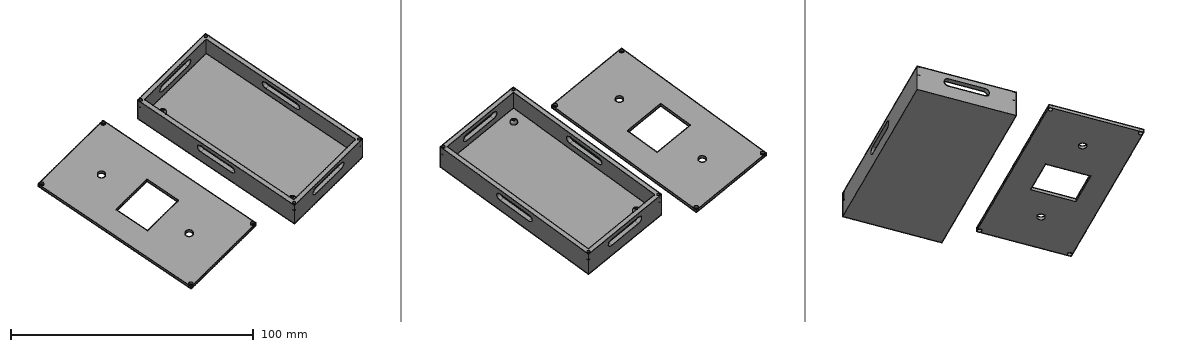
import cadquery as cq

box_length = 84.0
box_width = 44.0
box_height = 13.0
wall = 2.0
floor_thickness = 3.0
slot_length = 20.0
slot_height = 4.0
slot_center_z = 8.5

screw_hole_diameter = 1.3
screw_hole_depth = 4.5
screw_inset = 1.0

post_diameter = 3.2
post_hole_diameter = 1.0
post_spacing = 69.3
post_inset_y = 7.4

cover_length = 82.0
cover_width = 42.0
cover_thickness = 1.6
cover_hole_diameter = 1.8
cover_hole_inset = 1.1
window_length = 16.8
window_width = 20.0
window_offset_x = 0.5
window_offset_y = -0.5
button_hole_diameter = 3.5
button_hole_spacing = 46.9
button_offset_x = -0.5
button_offset_y = -0.6

overall_length = 93.7
overall_width = 96.65
box_center = (overall_length - box_length / 2, overall_width - box_width / 2)
cover_center = (cover_length / 2, cover_width / 2)


def corner_points(length, width, inset):
    """Points set in by the same amount from the four corners of a centred rectangle."""
    x = length / 2 - inset
    y = width / 2 - inset
    return [(-x, -y), (x, -y), (-x, y), (x, y)]


def plate(length, width, height):
    """Centred rectangular block standing on Z = 0."""
    return cq.Workplane("XY").box(length, width, height, centered=(True, True, False))


def wall_slot(plane, through_length):
    """Round-ended bar that cuts a slot through two opposite walls."""
    bar = cq.Workplane(plane).center(0, slot_center_z).slot2D(slot_length, slot_height)
    return bar.extrude(through_length / 2, both=True)


def make_post():
    """Dome with a pilot hole down its middle, standing on the box floor at the origin."""
    dome = cq.Workplane("XY").sphere(post_diameter / 2, angle1=0)
    return dome.cut(cq.Workplane("XY").circle(post_hole_diameter / 2).extrude(post_diameter / 2))


def make_box():
    box = plate(box_length, box_width, box_height)
    cavity = plate(box_length - 2 * wall, box_width - 2 * wall, box_height)
    box = box.cut(cavity.translate((0, 0, floor_thickness)))
    box = box.cut(wall_slot("XZ", box_width)).cut(wall_slot("YZ", box_length))

    screw_points = corner_points(box_length, box_width, screw_inset)
    screw_holes = cq.Workplane("XY", origin=(0, 0, box_height)).pushPoints(screw_points)
    box = box.cut(screw_holes.circle(screw_hole_diameter / 2).extrude(-screw_hole_depth))

    for side in (-1, 1):
        post_place = (side * post_spacing / 2, post_inset_y - box_width / 2, floor_thickness)
        box = box.union(make_post().translate(post_place))
    return box.translate((*box_center, 0))


def make_cover():
    cover = plate(cover_length, cover_width, cover_thickness).faces(">Z").workplane()
    cover = cover.pushPoints(corner_points(cover_length, cover_width, cover_hole_inset))
    cover = cover.hole(cover_hole_diameter)

    half_spacing = button_hole_spacing / 2
    button_points = [(button_offset_x + side * half_spacing, button_offset_y) for side in (-1, 1)]
    cover = cover.pushPoints(button_points).hole(button_hole_diameter)

    window = plate(window_length, window_width, cover_thickness)
    cover = cover.cut(window.translate((window_offset_x, window_offset_y, 0)))
    return cover.translate((*cover_center, 0))


box = make_box()
cover = make_cover()

result = cq.Compound.makeCompound([box.val(), cover.val()])